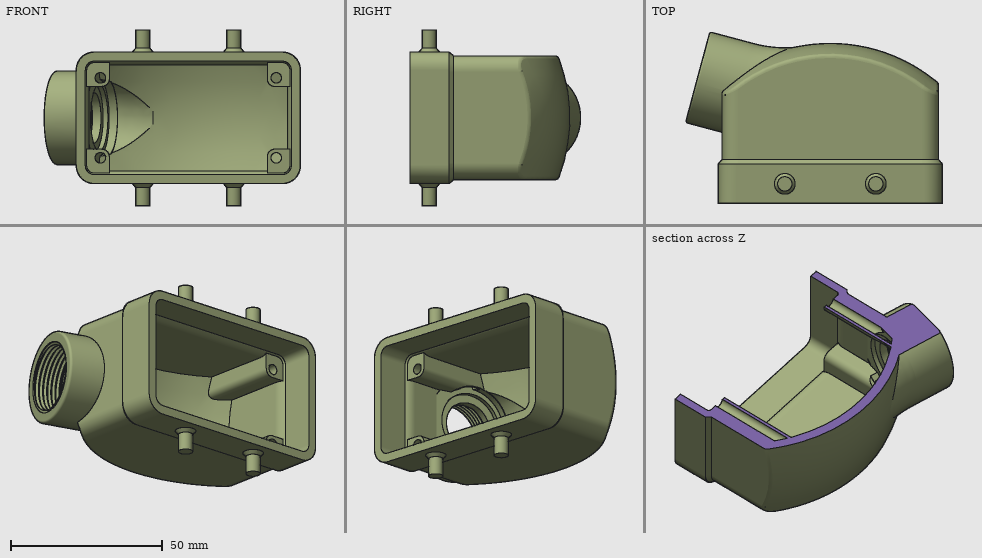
import cadquery as cq
import math


base_length = 74.0
base_width = 43.5
base_height = 13.0
base_corner = 5.9

shoulder_inset = 1.3
shoulder_rise = 1.4
upper_length = base_length - 2 * shoulder_inset
upper_width = base_width - 2 * shoulder_inset
upper_corner = 5.3

dome_top = 52.9
dome_radius = 55.0
dome_center = dome_top - dome_radius
dome_edge_fillet = 1.5

mouth_length = 68.0
mouth_width = 37.5
mouth_corner = 3.05
flare_inset = 1.3
flare_radius = 5.1
flare_end = 14.9
chamber_length = mouth_length - 2 * flare_inset
chamber_width = mouth_width - 2 * flare_inset
chamber_corner = mouth_corner - flare_inset
dome_wall = 3.3

post_face = 12.2
post_inner_x = 26.05
post_inner_z = 10.3
post_fillet = 2.5
screw_x = 29.0
screw_z = 13.2
screw_diameter = 3.5

collar_tilt = 15.0
collar_diameter = 31.0
collar_face_x = -43.77
collar_face_y = 41.6
collar_straight = 14.9
collar_rim_fillet = 0.85
bend_radius = 56.7
bend_overrun = 4.0

thread_seat_diameter = 24.0
thread_seat_depth = 10.4
thread_root_diameter = 23.9
thread_crest_diameter = 22.0
thread_pitch = 1.5
thread_gap = 0.2
thread_crest_land = 0.2
thread_start_angle = -115.0

lip_diameter = 16.5
lip_end = 13.3
recess_diameter = thread_crest_diameter
duct_diameter = 25.4
duct_straight = 17.8
duct_bend_diameter = 24.9

pin_diameter = 4.7
pin_span = 58.0
pin_x = 15.01
pin_y = 6.4
pin_root_diameter = 6.85
pin_root_height = 1.3

tilt = math.radians(collar_tilt)
collar_axis = cq.Vector(math.cos(tilt), -math.sin(tilt), 0)


def level(height):
    """Workplane facing +Y at the given height."""
    return cq.Workplane(cq.Plane(origin=(0, height, 0), xDir=(1, 0, 0), normal=(0, 1, 0)))


def rounded_block(length, width, corner, bottom, top, taper=0):
    outline = cq.Sketch().rect(length, width).vertices().fillet(corner)
    return level(bottom).placeSketch(outline).extrude(top - bottom, taper=taper)


def sphere_at_dome(radius):
    return cq.Workplane("XY").sphere(radius).translate((0, dome_center, 0))


def on_collar_axis(distance):
    """Point on the straight part of the collar axis, measured inward from the collar face."""
    return cq.Vector(collar_face_x, collar_face_y, 0) + collar_axis * distance


def collar_plane(distance):
    return cq.Workplane(cq.Plane(origin=on_collar_axis(distance), xDir=(0, 0, 1), normal=collar_axis))


def bend_point(slope):
    """Point of the bent axis where it falls at the given slope angle."""
    start = on_collar_axis(collar_straight)
    return (
        start.x + bend_radius * (math.sin(tilt) - math.sin(slope)),
        start.y + bend_radius * (math.cos(tilt) - math.cos(slope)),
    )


def bent_run(diameter):
    """Solid that carries the collar around its bend, slightly past level, into the dome."""
    path = cq.Workplane("XY").moveTo(*bend_point(tilt))
    path = path.threePointArc(bend_point(0), bend_point(-math.radians(bend_overrun)))
    return collar_plane(collar_straight).circle(diameter / 2).sweep(path)


def bore(diameter, start, end):
    return collar_plane(start).circle(diameter / 2).extrude(end - start)


def make_shell():
    foot_corner = upper_corner + shoulder_inset
    slope = math.degrees(math.atan2(shoulder_inset, shoulder_rise))
    base = rounded_block(base_length, base_width, base_corner, 0, base_height)
    shoulder = rounded_block(
        base_length, base_width, foot_corner, base_height, base_height + shoulder_rise, slope
    )
    upper = rounded_block(upper_length, upper_width, upper_corner, base_height, dome_top)
    upper = upper.intersect(sphere_at_dome(dome_radius))
    upper = upper.faces("%SPHERE").edges().fillet(dome_edge_fillet)
    return base.union(shoulder).union(upper)


def make_collar():
    collar = bore(collar_diameter, 0, collar_straight)
    return collar.faces("<X").edges().fillet(collar_rim_fillet)


def make_pins():
    """Pins with a conical root, each anchored halfway into the wall of the base band."""
    side = base_width / 2
    middle = (side + mouth_width / 2) / 2
    root = cq.Solid.makeCone(
        pin_root_diameter / 2, pin_diameter / 2, pin_root_height, cq.Vector(0, 0, side), cq.Vector(0, 0, 1)
    )
    pin = cq.Workplane("XY", origin=(0, 0, middle)).circle(pin_diameter / 2).extrude(pin_span / 2 - middle)
    pin = pin.union(cq.Workplane(root))
    pins = cq.Workplane("XY")
    for x in (-pin_x, pin_x):
        for turn in (0, 180):
            pins = pins.add(pin.rotate((0, 0, 0), (1, 0, 0), turn).translate((x, pin_y, 0)))
    return pins.combine()


def make_posts():
    posts = cq.Workplane("XY")
    dx = base_length / 2 - post_inner_x
    dz = base_width / 2 - post_inner_z
    for sx in (-1, 1):
        for sz in (-1, 1):
            post = (
                level(post_face)
                .center(sx * (post_inner_x + dx / 2), -sz * (post_inner_z + dz / 2))
                .rect(dx, dz)
                .extrude(dome_top - post_face)
            )
            near_x = "<X" if sx > 0 else ">X"
            near_z = "<Z" if sz > 0 else ">Z"
            posts = posts.add(post.faces(near_x).edges(near_z).fillet(post_fillet))
    return posts.combine()


def make_cavity():
    """Chamber whose flare is a fillet onto a wide plate, trimmed to the mouth outline."""
    plate_top = flare_end - flare_radius
    plate_length = chamber_length + 4 * flare_radius
    plate_width = chamber_width + 4 * flare_radius
    chamber = rounded_block(chamber_length, chamber_width, chamber_corner, 0, dome_top)
    plate = rounded_block(plate_length, plate_width, mouth_corner, 0, plate_top)
    inner_corner = cq.selectors.BoxSelector(
        (-mouth_length / 2, plate_top - 0.85, -mouth_width / 2),
        (mouth_length / 2, plate_top + 0.85, mouth_width / 2),
    )
    flared = chamber.union(plate).edges(inner_corner).fillet(flare_radius)
    cavity = flared.intersect(rounded_block(mouth_length, mouth_width, mouth_corner, 0, dome_top))
    return cavity.intersect(sphere_at_dome(dome_radius - dome_wall)).cut(make_posts())


def make_duct():
    seat = bore(thread_seat_diameter, 0, thread_seat_depth)
    lip = bore(lip_diameter, 0, lip_end)
    recess = bore(recess_diameter, lip_end, collar_straight)
    duct = bore(duct_diameter, collar_straight, duct_straight)
    bend = bent_run(duct_bend_diameter).cut(bore(collar_diameter, 0, duct_straight))
    return seat.union(lip).union(recess).union(duct).union(bend)


def make_screw_holes():
    """Holes through the posts that end at the inside of the dome."""
    holes = (
        level(post_face)
        .rect(2 * screw_x, 2 * screw_z, forConstruction=True)
        .vertices()
        .circle(screw_diameter / 2)
        .extrude(dome_top - post_face)
    )
    return holes.intersect(sphere_at_dome(dome_radius - dome_wall))


def make_housing():
    hood = make_shell().union(bent_run(collar_diameter))
    hood = hood.cut(make_cavity()).cut(make_screw_holes())
    return hood.union(make_collar()).union(make_pins()).cut(make_duct())


def make_thread_coil():
    """Helical ridge between the root and crest diameters, trimmed to the length of the seat."""
    root = thread_root_diameter / 2
    crest = thread_crest_diameter / 2
    half_root = (thread_pitch - thread_gap) / 2
    half_crest = thread_crest_land / 2
    helix = cq.Wire.makeHelix(thread_pitch, thread_seat_depth + 2 * thread_pitch, root)
    ridge = (
        cq.Workplane("XZ")
        .polyline([(root, -half_root), (crest, -half_crest), (crest, half_crest), (root, half_root)])
        .close()
        .sweep(cq.Workplane(helix), isFrenet=True)
        .translate((0, 0, -thread_pitch))
        .rotate((0, 0, 0), (0, 0, 1), thread_start_angle)
    )
    seat_length = cq.Workplane("XY").rect(4 * root, 4 * root).extrude(thread_seat_depth)
    ridge = ridge.intersect(seat_length)
    return cq.Workplane(ridge.val().located(collar_plane(0).plane.location))


housing = make_housing()
thread_coil = make_thread_coil()
result = cq.Compound.makeCompound([housing.val(), thread_coil.val()])